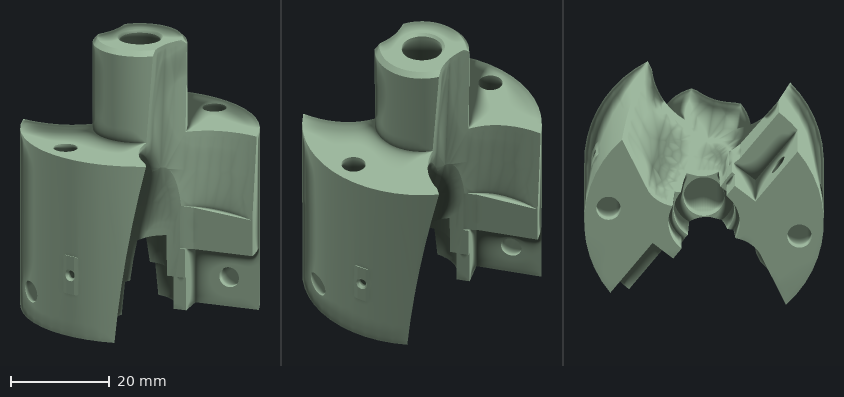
import cadquery as cq
import math

HEIGHT = 57.3
BODY_RADIUS = 24.25
BODY_HEIGHT = 37.9
SHANK_RADIUS = 9.6
SHANK_CHAMFER = 1.0

BORE_RADIUS = 4.1
BORE_CHAMFER = 0.5
BORE_STEPS = [(7.2, 7.15), (6.15, 15.95)]

TWIST_PER_UNIT = 0.4361
LEDGE_HEIGHT = 23.35
LEDGE_SLOPE = 0.1
LEDGE_START = 17.2

GULLET_BEND = 18.9
LOWER_LEAN = 0.14
UPPER_LEAN = 0.23
SHELF_Y = 0.75

SEAT_RISE = 0.6
SEAT_END = 8.9
SEAT_TOP = LEDGE_HEIGHT - LEDGE_SLOPE * SEAT_END
POCKET_INNER_X = 10.0
SEAT_FLAT_START = 11.6
SEAT_CLEARANCE = 5.75
POCKET_HEIGHT = 13.3
POCKET_DEPTH = 5.35

AXIAL_HOLE_DIAMETER = 4.95
AXIAL_HOLE_CIRCLE_RADIUS = 19.55
AXIAL_HOLE_ANGLE = 60.0
CROSS_HOLE_DIAMETER = 4.25
CROSS_HOLE_X = 17.25
CROSS_HOLE_Z = 6.25

PAD_ANGLE = 15.0
PAD_Z = 13.2
PAD_LENGTH = 8.15
PAD_HALF_WIDTH = 2.05
PAD_TOP_HALF_WIDTH = 0.9
PAD_TOP_RADIUS = 24.4
PAD_EDGE_RADIUS = 24.15
PAD_ROOT_RADIUS = 22.9
PAD_CORNER = 0.45
PAD_HOLE_DIAMETER = 1.7
PAD_HOLE_RIM_DIAMETER = 2.5
PAD_HOLE_DEPTH = 1.15

CLEAR = 34.4


def both_lobes(shape):
    """The shape together with its half-turn copy about the Z axis."""
    return [shape, shape.rotate((0, 0, 0), (0, 0, 1), 180)]


def turned_blank():
    body = cq.Workplane("XY").circle(BODY_RADIUS).extrude(BODY_HEIGHT)
    shank = cq.Workplane("XY").circle(SHANK_RADIUS).extrude(HEIGHT).faces(">Z").chamfer(SHANK_CHAMFER)
    return body.union(shank)


def centre_bore():
    bore = cq.Workplane("XY").circle(BORE_RADIUS).extrude(HEIGHT)
    for radius, top in BORE_STEPS:
        bore = bore.union(cq.Workplane("XY").circle(radius).extrude(top))
    rim = cq.Solid.makeCone(BORE_RADIUS, BORE_RADIUS + BORE_CHAMFER, BORE_CHAMFER,
                            cq.Vector(0, 0, HEIGHT - BORE_CHAMFER))
    return bore.union(cq.Workplane(rim))


def helical_flute():
    """Twisted flute; its outline is given at the top of the body."""
    twist = TWIST_PER_UNIT * (HEIGHT - LEDGE_START)
    start_turn = -TWIST_PER_UNIT * (BODY_HEIGHT - LEDGE_START)
    cutter = (
        cq.Workplane("XY")
        .transformed(rotate=(0, 0, start_turn), offset=(0, 0, LEDGE_START))
        .moveTo(-CLEAR, CLEAR)
        .lineTo(-18.35, CLEAR)
        .lineTo(-8.7, 20.45)
        .threePointArc((-4.4, 10.05), (-6.0, 3.4))
        .spline([(-9.5, -0.75), (-13.9, -3.2), (-18.35, -3.9), (-24.65, -2.85)], includeCurrent=True)
        .lineTo(-CLEAR, 0)
        .close()
        .twistExtrude(HEIGHT - LEDGE_START, twist)
    )
    below_ledge = (
        cq.Workplane("XZ", origin=(0, CLEAR, 0))
        .moveTo(-CLEAR, 0)
        .lineTo(-CLEAR, LEDGE_HEIGHT - LEDGE_SLOPE * CLEAR)
        .lineTo(0, LEDGE_HEIGHT)
        .lineTo(CLEAR, LEDGE_HEIGHT)
        .lineTo(CLEAR, 0)
        .close()
        .extrude(2 * CLEAR)
    )
    return cutter.cut(below_ledge)


def gullet_outline(height):
    """Gullet outline at one height; the gullet leans outwards as it rises."""
    upper_run = BODY_HEIGHT - max(height, GULLET_BEND)
    lower_run = max(GULLET_BEND - height, 0)
    shift = UPPER_LEAN * upper_run + LOWER_LEAN * lower_run
    return (
        cq.Workplane("XY", origin=(shift, 0, height))
        .moveTo(-CLEAR, SHELF_Y)
        .lineTo(-14.15, SHELF_Y)
        .threePointArc((-10.0, 1.45), (-7.5, 3.8))
        .lineTo(-6.6, 5.85)
        .threePointArc((-4.9, 9.45), (-5.15, 13.0))
        .lineTo(-12.1, 27.5)
        .lineTo(-CLEAR, 27.5)
        .close()
        .val()
    )


def gullet():
    outlines = [gullet_outline(height) for height in (0, GULLET_BEND, BODY_HEIGHT)]
    return cq.Workplane(cq.Solid.makeLoft(outlines))


def relief():
    """Square relief joining the widest bore step to the insert pocket."""
    radius, top = BORE_STEPS[0]
    return cq.Workplane("XY").box(POCKET_INNER_X, SHELF_Y, top, centered=False).translate(
        (-POCKET_INNER_X, 0, 0)
    )


def seat():
    """Flat seat above the insert pocket, rising slightly towards the core."""
    return (
        cq.Workplane("XY", origin=(0, 0, POCKET_HEIGHT))
        .moveTo(-CLEAR, 0)
        .lineTo(-SEAT_FLAT_START, 0)
        .lineTo(-SEAT_END, SEAT_RISE)
        .lineTo(-SEAT_END, SEAT_CLEARANCE)
        .lineTo(-CLEAR, SEAT_CLEARANCE)
        .close()
        .extrude(SEAT_TOP - POCKET_HEIGHT)
    )


def insert_pocket():
    return cq.Workplane("XY").box(
        CLEAR, POCKET_DEPTH + SEAT_CLEARANCE, POCKET_HEIGHT, centered=False
    ).translate((-POCKET_INNER_X - CLEAR, -POCKET_DEPTH, 0))


def axial_hole():
    angle = math.radians(AXIAL_HOLE_ANGLE)
    x = AXIAL_HOLE_CIRCLE_RADIUS * math.cos(angle)
    y = AXIAL_HOLE_CIRCLE_RADIUS * math.sin(angle)
    return cq.Workplane("XY").center(x, y).circle(AXIAL_HOLE_DIAMETER / 2).extrude(BODY_HEIGHT)


def cross_hole():
    return (
        cq.Workplane("XZ", origin=(0, CLEAR, 0))
        .center(CROSS_HOLE_X, CROSS_HOLE_Z)
        .circle(CROSS_HOLE_DIAMETER / 2)
        .extrude(2 * CLEAR)
    )


def pad():
    """Three-sided raised pad facing outwards, with its corners cut off."""
    block = (
        cq.Workplane("XY", origin=(0, 0, PAD_Z - PAD_LENGTH / 2))
        .moveTo(-PAD_HALF_WIDTH, -PAD_ROOT_RADIUS)
        .lineTo(-PAD_HALF_WIDTH, -PAD_EDGE_RADIUS)
        .lineTo(-PAD_TOP_HALF_WIDTH, -PAD_TOP_RADIUS)
        .lineTo(PAD_TOP_HALF_WIDTH, -PAD_TOP_RADIUS)
        .lineTo(PAD_HALF_WIDTH, -PAD_EDGE_RADIUS)
        .lineTo(PAD_HALF_WIDTH, -PAD_ROOT_RADIUS)
        .close()
        .extrude(PAD_LENGTH)
    )
    border = (
        cq.Workplane("XZ", origin=(0, 0, PAD_Z))
        .rect(2 * PAD_HALF_WIDTH, PAD_LENGTH)
        .extrude(CLEAR)
        .edges("|Y")
        .chamfer(PAD_CORNER)
    )
    return block.intersect(border).rotate((0, 0, 0), (0, 0, 1), -PAD_ANGLE)


def pad_hole():
    chamfer = (PAD_HOLE_RIM_DIAMETER - PAD_HOLE_DIAMETER) / 2
    mouth = cq.Vector(0, -PAD_TOP_RADIUS, PAD_Z)
    inwards = cq.Vector(0, 1, 0)
    drill = cq.Solid.makeCylinder(PAD_HOLE_DIAMETER / 2, PAD_HOLE_DEPTH, mouth, inwards)
    rim = cq.Solid.makeCone(PAD_HOLE_RIM_DIAMETER / 2, PAD_HOLE_DIAMETER / 2, chamfer, mouth, inwards)
    return cq.Workplane(drill).union(cq.Workplane(rim)).rotate((0, 0, 0), (0, 0, 1), -PAD_ANGLE)


result = turned_blank()
for raised_pad in both_lobes(pad()):
    result = result.union(raised_pad)

cutters = [
    helical_flute(),
    gullet(),
    seat(),
    insert_pocket(),
    relief(),
    axial_hole(),
    cross_hole(),
    pad_hole(),
]
for cutter in cutters:
    for copy in both_lobes(cutter):
        result = result.cut(copy)
result = result.cut(centre_bore())